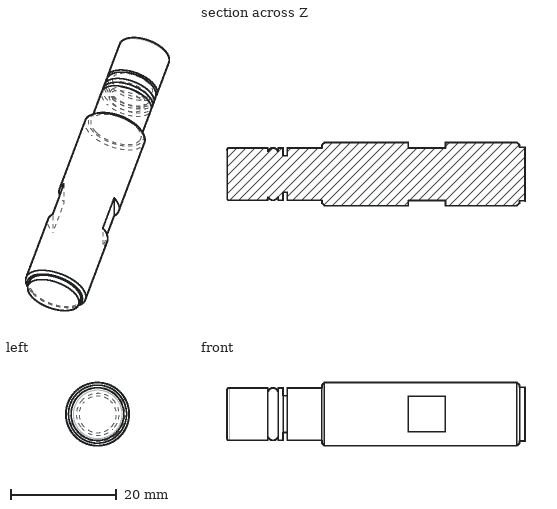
import cadquery as cq

total_length = 56.4
body_diameter = 12.0
nose_diameter = 10.0
shoulder_x = 17.95

nose_edge_radius = 0.4
body_chamfer = 0.5

ring_start_x = 7.7
ring_section_diameter = 2.0

groove_start_x = 10.6
groove_width = 0.8
groove_diameter = 7.0

spigot_diameter = 10.25
spigot_length = 1.0

flat_start_x = 34.35
flat_length = 7.0
across_flats = nose_diameter

body_radius = body_diameter / 2
nose_radius = nose_diameter / 2


def cylinder(diameter, start_x, length):
    """Round bar along X."""
    return cq.Workplane("YZ", origin=(start_x, 0, 0)).circle(diameter / 2).extrude(length)


def seat_ring(bar):
    """Bar with the exposed half of the O-ring standing in its gland."""
    section_radius = ring_section_diameter / 2
    ring_center_radius = nose_radius - section_radius
    ring_middle_x = ring_start_x + section_radius
    ring_end_x = ring_start_x + ring_section_diameter
    gland = cylinder(nose_diameter, ring_start_x, ring_section_diameter)
    gland = gland.cut(cylinder(2 * ring_center_radius, ring_start_x, ring_section_diameter))
    ring = (
        cq.Workplane("XY")
        .moveTo(ring_start_x, 0)
        .lineTo(ring_start_x, ring_center_radius)
        .threePointArc((ring_middle_x, nose_radius), (ring_end_x, ring_center_radius))
        .lineTo(ring_end_x, 0)
        .close()
        .revolve(360, (0, 0, 0), (1, 0, 0))
    )
    return bar.cut(gland).union(ring)


def retaining_groove():
    blank = cylinder(nose_diameter, groove_start_x, groove_width)
    return blank.cut(cylinder(groove_diameter, groove_start_x, groove_width))


def wrench_flat(side):
    """Cutter for one flat; side is -1 for -Y and +1 for +Y."""
    depth = body_radius - across_flats / 2
    middle_x = flat_start_x + flat_length / 2
    middle_y = side * (across_flats / 2 + depth / 2)
    return cq.Workplane("XY").box(flat_length, depth, body_diameter).translate((middle_x, middle_y, 0))


body_length = total_length - spigot_length - shoulder_x

nose = cylinder(nose_diameter, 0, shoulder_x).faces("<X").edges().fillet(nose_edge_radius)
nose = seat_ring(nose).cut(retaining_groove())

body = cylinder(body_diameter, shoulder_x, body_length).faces("<X or >X").edges().chamfer(body_chamfer)
for side in (-1, 1):
    body = body.cut(wrench_flat(side))

spigot = cylinder(spigot_diameter, total_length - spigot_length, spigot_length)

result = nose.union(body).union(spigot)